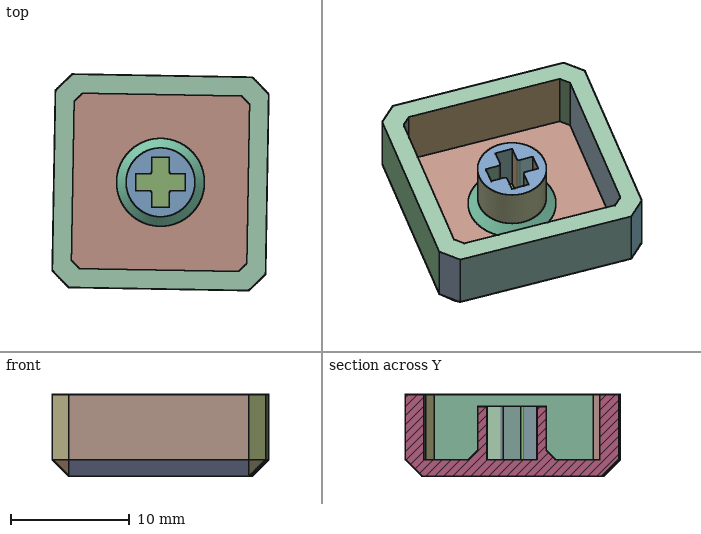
import cadquery as cq
import math

overall_width = 18.25
height = 6.9
turn_angle = -1.0
outer_bevel = 1.4
wall = 1.6
floor_thickness = 1.4
inner_bevel = 0.7

turn_sine = math.sin(math.radians(abs(turn_angle)))
turn_cosine = math.cos(math.radians(turn_angle))
side = (overall_width + 2 * outer_bevel * turn_sine) / (turn_cosine + turn_sine)

post_diameter = 5.8
post_recess = 1.0
foot_width = 0.8
foot_height = 0.8

cross_span = 4.2
x_arm_width = 1.4
y_arm_width = 1.5
cross_corner_radius = 0.2

post_height = height - post_recess - floor_thickness


def make_shell():
    """Bevelled block with an open pocket in its top."""
    block = (
        cq.Workplane("XY")
        .box(side, side, height, centered=(True, True, False))
        .edges("|Z or <Z")
        .chamfer(outer_bevel)
    )
    pocket_side = side - 2 * wall
    pocket = (
        cq.Workplane("XY", origin=(0, 0, floor_thickness))
        .rect(pocket_side, pocket_side)
        .extrude(height - floor_thickness)
        .edges("|Z")
        .chamfer(inner_bevel)
    )
    return block.cut(pocket).rotate((0, 0, 0), (0, 0, 1), turn_angle)


def make_post():
    """Round post that widens into a cone where it meets the floor."""
    radius = post_diameter / 2
    return (
        cq.Workplane("XZ")
        .moveTo(0, 0)
        .lineTo(radius + foot_width, 0)
        .lineTo(radius, foot_height)
        .lineTo(radius, post_height)
        .lineTo(0, post_height)
        .close()
        .revolve(360, (0, 0, 0), (0, 1, 0))
        .translate((0, 0, floor_thickness))
    )


def make_cross():
    """Cross-shaped socket, as deep as the post, rounded where its arms meet."""
    plane = cq.Workplane("XY", origin=(0, 0, floor_thickness))
    x_arm = plane.rect(cross_span, x_arm_width).extrude(post_height)
    y_arm = plane.rect(y_arm_width, cross_span).extrude(post_height)
    inner_corners = cq.selectors.BoxSelector(
        (-y_arm_width, -x_arm_width, 0), (y_arm_width, x_arm_width, height)
    )
    return x_arm.union(y_arm).edges("|Z").edges(inner_corners).fillet(cross_corner_radius)


result = make_shell().union(make_post()).cut(make_cross())